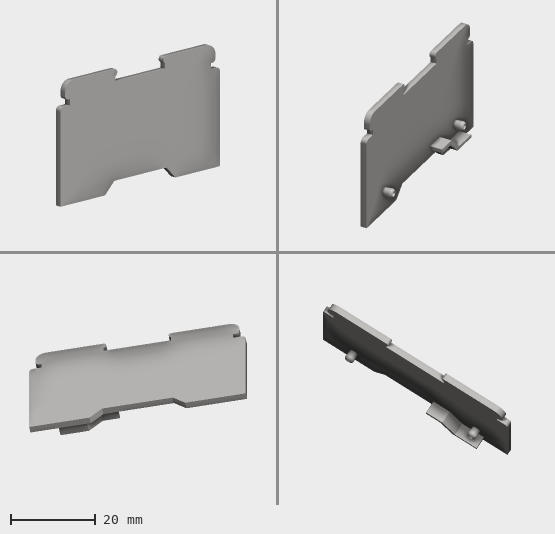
import cadquery as cq
import math

PLATE_THICKNESS = 1.6
PLATE_WIDTH = 52.0
PLATE_HEIGHT = 30.3
HALF_WIDTH = PLATE_WIDTH / 2

SHOULDER_DROP = 6.0
SHOULDER_RADIUS = 1.0
NECK_INSET = 3.0
NECK_HEIGHT = 1.5
EAR_INSET = 1.5
EAR_TOP_RADIUS = 2.5
EAR_BOTTOM_RADIUS = 1.0

RECESS_HALF_WIDTH = 8.1
RECESS_DEPTH = 3.0
LIP_OVERHANG = 0.6
LIP_TIP_SETBACK = 0.45
LIP_TIP_DROP = 0.82
LIP_HEIGHT = 1.68

CUTOUT_HALF_WIDTH = 11.5
CUTOUT_DEPTH = 3.0

PEG_Y = 17.25
PEG_Z = 5.55
PEG_LENGTH = 2.5
PEG_BASE_RADIUS = 1.05
PEG_RADIUS = 1.2
PEG_NOSE_LENGTH = 0.7
PEG_RIM_RADIUS = 0.75
PEG_CONE_RADIUS = 0.65
PEG_CONE_DEPTH = 1.2

RIB_DEPTH = 3.2
RIB_START_Y = -5.1
RIB_END_Y = -19.4
HIGH_BAR_TOP_Z = 6.1
HIGH_BAR_BOTTOM_Z = 5.0
LOW_BAR_TOP_Z = 2.5
LOW_BAR_BOTTOM_Z = 1.7
RAMP_TOP_START_Y = -9.7
RAMP_BOTTOM_START_Y = -9.2
RIB_END_RADIUS = 0.25
RIB_CREST_RADIUS = 0.5


def arc_point(center_across, center_up, radius, angle):
    """Point on a circle in a sketch, at an angle in degrees from the across axis towards the up axis."""
    turn = math.radians(angle)
    return (center_across + radius * math.cos(turn), center_up + radius * math.sin(turn))


def half_plate():
    """The +Y half of the plate."""
    shoulder_z = PLATE_HEIGHT - SHOULDER_DROP
    neck_y = HALF_WIDTH - NECK_INSET
    ear_y = HALF_WIDTH - EAR_INSET
    ear_bottom_z = shoulder_z + NECK_HEIGHT
    ear_top_center = (ear_y - EAR_TOP_RADIUS, PLATE_HEIGHT - EAR_TOP_RADIUS)
    ear_bottom_center = (ear_y - EAR_BOTTOM_RADIUS, ear_bottom_z + EAR_BOTTOM_RADIUS)
    shoulder_center = (HALF_WIDTH - SHOULDER_RADIUS, shoulder_z - SHOULDER_RADIUS)
    lip_tip_y = RECESS_HALF_WIDTH - LIP_OVERHANG
    recess_z = PLATE_HEIGHT - RECESS_DEPTH

    outline = (
        cq.Workplane("YZ")
        .moveTo(0, CUTOUT_DEPTH)
        .lineTo(CUTOUT_HALF_WIDTH - CUTOUT_DEPTH, CUTOUT_DEPTH)
        .lineTo(CUTOUT_HALF_WIDTH, 0)
        .lineTo(HALF_WIDTH, 0)
        .lineTo(HALF_WIDTH, shoulder_center[1])
        .threePointArc(
            arc_point(*shoulder_center, SHOULDER_RADIUS, 45),
            (shoulder_center[0], shoulder_z),
        )
        .lineTo(neck_y, shoulder_z)
        .lineTo(neck_y, ear_bottom_z)
        .lineTo(ear_bottom_center[0], ear_bottom_z)
        .threePointArc(
            arc_point(*ear_bottom_center, EAR_BOTTOM_RADIUS, -45),
            (ear_y, ear_bottom_center[1]),
        )
        .lineTo(ear_y, ear_top_center[1])
        .threePointArc(
            arc_point(*ear_top_center, EAR_TOP_RADIUS, 45),
            (ear_top_center[0], PLATE_HEIGHT),
        )
        .lineTo(lip_tip_y + LIP_TIP_SETBACK, PLATE_HEIGHT)
        .threePointArc(
            (lip_tip_y, PLATE_HEIGHT - LIP_TIP_DROP),
            (RECESS_HALF_WIDTH, PLATE_HEIGHT - LIP_HEIGHT),
        )
        .lineTo(RECESS_HALF_WIDTH, recess_z)
        .lineTo(0, recess_z)
        .close()
    )
    return outline.extrude(PLATE_THICKNESS)


def peg(center_y):
    """Peg that widens towards a rounded nose with a conical hollow in its end."""
    nose_start = PEG_LENGTH - PEG_NOSE_LENGTH
    nose_drop = PEG_RADIUS - PEG_RIM_RADIUS
    nose_radius = (PEG_NOSE_LENGTH**2 + nose_drop**2) / (2 * nose_drop)
    nose_sweep = math.degrees(math.asin(PEG_NOSE_LENGTH / nose_radius))
    nose_middle = arc_point(-nose_start, PEG_RADIUS - nose_radius, nose_radius, 90 + nose_sweep / 2)
    profile = (
        cq.Workplane("XY")
        .lineTo(0, PEG_BASE_RADIUS)
        .lineTo(-nose_start, PEG_RADIUS)
        .threePointArc(nose_middle, (-PEG_LENGTH, PEG_RIM_RADIUS))
        .lineTo(-PEG_LENGTH, PEG_CONE_RADIUS)
        .lineTo(-PEG_LENGTH + PEG_CONE_DEPTH, 0)
        .close()
    )
    turned = profile.revolve(360, (0, 0, 0), (1, 0, 0))
    return turned.translate((0, center_y, PEG_Z))


def rib():
    """Cranked rib standing on the front face."""
    ramp_top_end_y = RAMP_TOP_START_Y - (HIGH_BAR_TOP_Z - LOW_BAR_TOP_Z)
    ramp_bottom_end_y = RAMP_BOTTOM_START_Y - (HIGH_BAR_BOTTOM_Z - LOW_BAR_BOTTOM_Z)
    outline = [
        (RIB_START_Y, HIGH_BAR_TOP_Z),
        (RAMP_TOP_START_Y, HIGH_BAR_TOP_Z),
        (ramp_top_end_y, LOW_BAR_TOP_Z),
        (RIB_END_Y, LOW_BAR_TOP_Z),
        (RIB_END_Y, LOW_BAR_BOTTOM_Z),
        (ramp_bottom_end_y, LOW_BAR_BOTTOM_Z),
        (RAMP_BOTTOM_START_Y, HIGH_BAR_BOTTOM_Z),
        (RIB_START_Y, HIGH_BAR_BOTTOM_Z),
    ]
    body = cq.Workplane("YZ").polyline(outline).close().extrude(-RIB_DEPTH)

    def long_edge(y, z):
        """Selector for the edge running along X through the corner (y, z)."""
        return cq.selectors.NearestToPointSelector((-RIB_DEPTH / 2, y, z))

    for corner in (outline[0], outline[3], outline[4]):
        body = body.edges("|X").edges(long_edge(*corner)).fillet(RIB_END_RADIUS)
    for corner in (outline[1], outline[6]):
        body = body.edges("|X").edges(long_edge(*corner)).fillet(RIB_CREST_RADIUS)
    return body


half = half_plate()
result = half.union(half.mirror("XZ")).union(rib())
for side in (-1, 1):
    result = result.union(peg(side * PEG_Y))
result = result.clean()